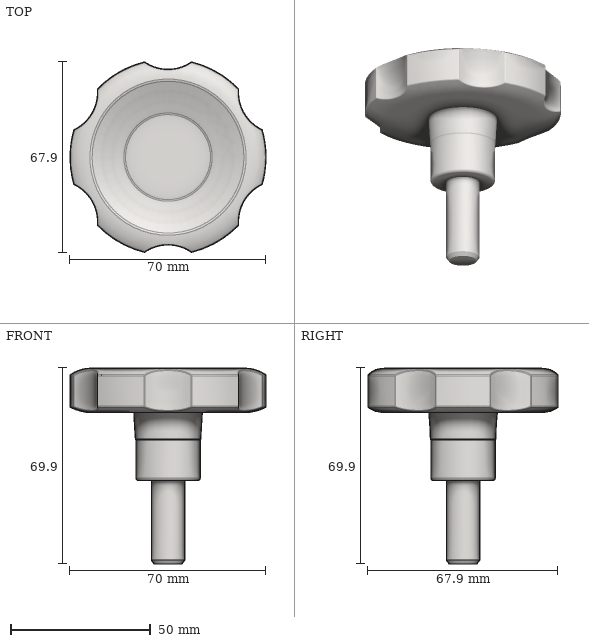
import cadquery as cq
import math

total_height = 69.9
wheel_height = 15.9
hub_bottom = 29.8
hub_shoulder = 44.65
wheel_bottom = total_height - wheel_height

wheel_radius = 35.0
crown_drop = 2.45
belly_rise = 1.95
belly_radius = 25.9
shoulder_bulge = 0.6
wall_round = 0.6

dish_radius = 27.45
dish_floor_radius = 15.5
dish_depth = 5.05
dish_bulge = 0.55
dish_rim_round = 1.4
dish_floor_round = 2.45

scallop_count = 6
scallop_radius = 14.7
scallop_floor = 31.35
scallop_first_angle = 30.0
scallop_edge_round = 0.35

hub_radius = 23.0 / 2
hub_round = 1.0
neck_bottom_radius = 11.7
neck_top_radius = 12.25
neck_step = 0.35
stud_radius = 12.0 / 2
stud_chamfer = 1.4
stud_chamfer_inset = 1.05


def bowed_midpoint(start, end, bulge):
    """Midpoint of a chord, moved by bulge to the right of its direction."""
    dx = end[0] - start[0]
    dz = end[1] - start[1]
    length = math.hypot(dx, dz)
    return (
        (start[0] + end[0]) / 2 + bulge * dz / length,
        (start[1] + end[1]) / 2 - bulge * dx / length,
    )


def round_circle(body, radius, height, rounding):
    """Round the circular edge of the given radius and height about the axis."""
    tolerance = 0.01

    def is_wanted(edge):
        return (
            edge.geomType() == "CIRCLE"
            and abs(edge.radius() - radius) < tolerance
            and abs(edge.startPoint().z - height) < tolerance
        )

    return body.edges().filter(is_wanted).fillet(rounding)


def is_scallop_face(face):
    """Tell a scallop from the outer side wall by how close its middle is to the axis."""
    middle = face.Center()
    reach = math.hypot(middle.x, middle.y)
    return face.geomType() == "CYLINDER" and reach < (scallop_floor + wheel_radius) / 2


def make_wheel():
    belly = (belly_radius, wheel_bottom)
    wall_bottom = (wheel_radius, wheel_bottom + belly_rise)
    wall_top = (wheel_radius, total_height - crown_drop)
    rim = (dish_radius, total_height)
    floor = (dish_floor_radius, total_height - dish_depth)
    wheel = (
        cq.Workplane("XZ")
        .moveTo(0, wheel_bottom)
        .lineTo(*belly)
        .threePointArc(bowed_midpoint(belly, wall_bottom, shoulder_bulge), wall_bottom)
        .lineTo(*wall_top)
        .threePointArc(bowed_midpoint(wall_top, rim, shoulder_bulge), rim)
        .threePointArc(bowed_midpoint(rim, floor, -dish_bulge), floor)
        .lineTo(0, floor[1])
        .close()
        .revolve(360, (0, 0), (0, 1))
    )
    wheel = round_circle(wheel, *rim, dish_rim_round)
    wheel = round_circle(wheel, *floor, dish_floor_round)
    wheel = round_circle(wheel, *wall_bottom, wall_round)
    wheel = round_circle(wheel, *wall_top, wall_round)
    scallops = (
        cq.Workplane("XY", origin=(0, 0, wheel_bottom))
        .polarArray(scallop_floor + scallop_radius, scallop_first_angle, 360, scallop_count)
        .circle(scallop_radius)
        .extrude(wheel_height)
    )
    wheel = wheel.cut(scallops)
    scallop_edges = wheel.faces().filter(is_scallop_face).edges()
    return scallop_edges.fillet(scallop_edge_round)


def make_hub_and_stud():
    hub = (
        cq.Workplane("XZ")
        .moveTo(0, 0)
        .lineTo(stud_radius - stud_chamfer_inset, 0)
        .lineTo(stud_radius, stud_chamfer)
        .lineTo(stud_radius, hub_bottom)
        .lineTo(hub_radius - hub_round, hub_bottom)
        .radiusArc((hub_radius, hub_bottom + hub_round), -hub_round)
        .lineTo(hub_radius, hub_shoulder - neck_step)
        .lineTo(neck_bottom_radius, hub_shoulder)
        .lineTo(neck_top_radius, wheel_bottom)
        .lineTo(0, wheel_bottom)
        .close()
    )
    return hub.revolve(360, (0, 0), (0, 1))


result = make_wheel().union(make_hub_and_stud())